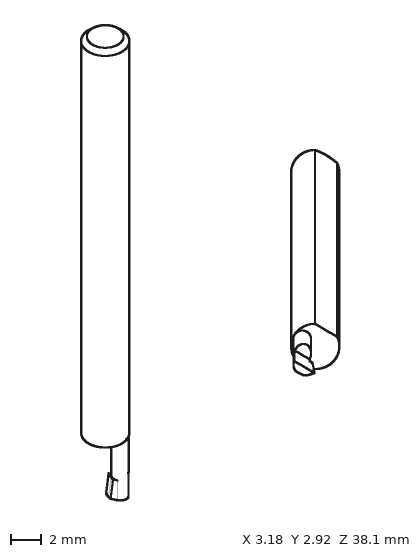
import cadquery as cq
import math

total_length = 38.1
neck_length = 5.08
shank_diameter = 3.175
shank_radius = shank_diameter / 2
flat_height = 2.92
shank_chamfer = 0.38

neck_radius = 0.58
neck_x = shank_radius - neck_radius
rake_runout_z = 2.05

head_top_z = 1.75
tip_x = 0.05
head_taper = 0.17
first_relief_width = 0.28
first_relief_angle = 53.0
second_relief_width = 0.18
second_relief_angle = 42.0

end_relief_x_angle = 1.5
end_relief_y_angle = 7.0


def make_shank():
    """Chamfered round shank with a full-length flat on the +Y side."""
    shank_length = total_length - neck_length
    shank = (
        cq.Workplane("XY")
        .workplane(offset=neck_length)
        .circle(shank_radius)
        .extrude(shank_length)
        .faces(">Z")
        .chamfer(shank_chamfer)
    )
    flat_y = flat_height - shank_radius
    beyond_flat = cq.Workplane("XY").box(
        shank_diameter, shank_diameter, total_length, centered=(True, False, False)
    )
    return shank.cut(beyond_flat.translate((0, flat_y, 0)))


def make_neck():
    """Round neck, cut to its -Y half below a 45 degree runout and to its +X half at the head."""
    neck = cq.Workplane("XY").center(neck_x, 0).circle(neck_radius).extrude(neck_length)
    cut_y = 2 * neck_radius
    rake_cut = (
        cq.Workplane("YZ")
        .polyline([(0, 0), (cut_y, 0), (cut_y, rake_runout_z + cut_y), (0, rake_runout_z)])
        .close()
        .extrude(shank_diameter)
    )
    head_room = cq.Workplane("XY").box(
        2 * neck_radius, 4 * neck_radius, head_top_z, centered=(False, True, False)
    )
    return neck.cut(rake_cut).cut(head_room.translate((neck_x - 2 * neck_radius, 0, 0)))


def head_section(edge_x):
    """Points of the tooth section whose cutting edge stands at edge_x."""
    first_end_x = edge_x + first_relief_width
    first_end_y = -first_relief_width * math.tan(math.radians(first_relief_angle))
    second_end_x = first_end_x + second_relief_width
    second_end_y = first_end_y - second_relief_width * math.tan(math.radians(second_relief_angle))
    return [
        (edge_x, 0),
        (first_end_x, first_end_y),
        (second_end_x, second_end_y),
        (neck_x, -neck_radius),
        (neck_x, 0),
    ]


def make_head():
    """Tooth with three relief facets, lofted from the tip up to its top face."""
    return (
        cq.Workplane("XY")
        .polyline(head_section(tip_x))
        .close()
        .workplane(offset=head_top_z)
        .polyline(head_section(tip_x + head_taper))
        .close()
        .loft(ruled=True)
    )


def make_end_relief():
    """Block below the end face, which slopes up from the cutting corner."""
    rise_x = math.tan(math.radians(end_relief_x_angle))
    rise_y = math.tan(math.radians(end_relief_y_angle))
    end_plane = cq.Plane(origin=(tip_x, 0, 0), xDir=(1, 0, rise_x), normal=(-rise_x, rise_y, 1))
    return cq.Workplane(end_plane).rect(2 * shank_diameter, 2 * shank_diameter).extrude(-neck_length)


result = make_shank().union(make_neck()).union(make_head()).cut(make_end_relief())